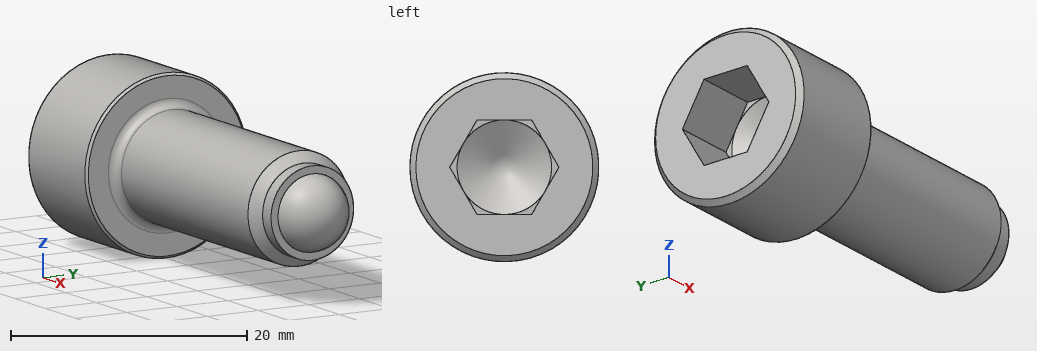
import cadquery as cq
import math

total_length = 36.7

head_radius = 8.0
head_length = 10.0
head_front_chamfer = 0.5
head_rear_chamfer = 0.22

shank_radius = 5.0
shank_end = 32.5
shank_chamfer_length = 0.88
neck_fillet = 0.8

nose_radius = 4.07
nose_end = 33.9
ball_radius = 3.45

socket_across_flats = 8.0
socket_depth = 6.02
socket_cone_angle = 120.0


def make_body():
    """Revolve the screw outline, ball included, about the X axis."""
    ball_center = total_length - ball_radius
    ball_rim_radius = math.sqrt(ball_radius**2 - (nose_end - ball_center) ** 2)
    ball_mid = ball_radius * math.sqrt(0.5)
    return (
        cq.Workplane("XY")
        .lineTo(0, head_radius - head_front_chamfer)
        .lineTo(head_front_chamfer, head_radius)
        .lineTo(head_length - head_rear_chamfer, head_radius)
        .lineTo(head_length, head_radius - head_rear_chamfer)
        .lineTo(head_length, shank_radius + neck_fillet)
        .radiusArc((head_length + neck_fillet, shank_radius), -neck_fillet)
        .lineTo(shank_end - shank_chamfer_length, shank_radius)
        .lineTo(shank_end, nose_radius)
        .lineTo(nose_end, nose_radius)
        .lineTo(nose_end, ball_rim_radius)
        .threePointArc((ball_center + ball_mid, ball_mid), (total_length, 0))
        .close()
        .revolve(360, (0, 0, 0), (1, 0, 0))
    )


def make_socket():
    """Hexagon with flats facing +Z and -Z, ending in a drill-point cone."""
    across_corners = socket_across_flats / math.cos(math.radians(30))
    cone_radius = socket_across_flats / 2
    cone_depth = cone_radius / math.tan(math.radians(socket_cone_angle / 2))
    hexagon = cq.Workplane("YZ").polygon(6, across_corners).extrude(socket_depth)
    cone = (
        cq.Workplane("XY")
        .moveTo(socket_depth, 0)
        .lineTo(socket_depth, cone_radius)
        .lineTo(socket_depth + cone_depth, 0)
        .close()
        .revolve(360, (0, 0, 0), (1, 0, 0))
    )
    return hexagon.union(cone)


result = make_body().cut(make_socket())